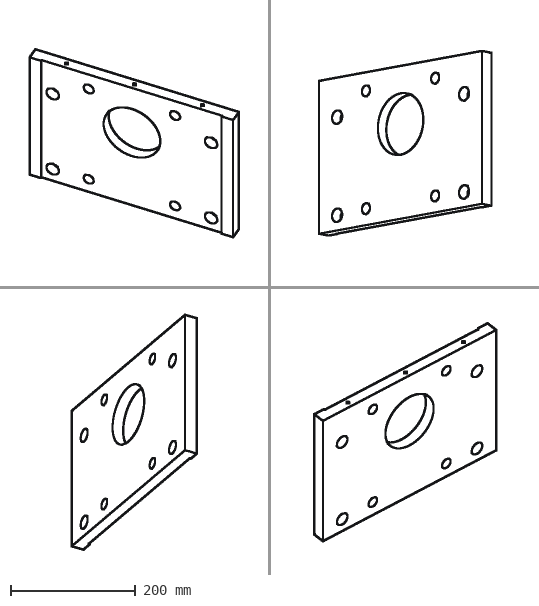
import cadquery as cq
import math

WIDTH = 360.0
THICKNESS = 22.0
HEIGHT = 250.0

STRIP_WIDTH = 20.0
RECESS_DEPTH = 2.0

BORE_DIAMETER = 100.0
BORE_Z = 30.0

OUTER_DIAMETER = 22.0
OUTER_X = 140.0
OUTER_Z = (60.0, -100.0)
INNER_DIAMETER = 17.5
INNER_X = 76.5
INNER_Z = (94.5, -98.0)

EDGE_HOLE_DIAMETER = 5.0
EDGE_HOLE_DEPTH = 15.0
DRILL_POINT_ANGLE = 118
EDGE_HOLE_SPACING = WIDTH / 3
EDGE_HOLE_FROM_BACK = 10.0


def through_holes(diameter, centres):
    """Cylinders along Y, long enough to cross the whole plate."""
    return (
        cq.Workplane("XZ")
        .pushPoints(centres)
        .circle(diameter / 2)
        .extrude(THICKNESS, both=True)
    )


def mirrored_centres(x, heights):
    """Hole centres at +x and -x for every height."""
    return [(side * x, z) for side in (-1, 1) for z in heights]


def front_recess():
    return (
        cq.Workplane("XY")
        .box(WIDTH - 2 * STRIP_WIDTH, RECESS_DEPTH, HEIGHT)
        .translate((0, (RECESS_DEPTH - THICKNESS) / 2, 0))
    )


def edge_holes():
    hole_y = THICKNESS / 2 - EDGE_HOLE_FROM_BACK
    centres = [(i * EDGE_HOLE_SPACING, hole_y) for i in (-1, 0, 1)]
    radius = EDGE_HOLE_DIAMETER / 2
    tip_length = radius / math.tan(math.radians(DRILL_POINT_ANGLE / 2))
    drill = (
        cq.Workplane("XZ")
        .lineTo(radius, 0)
        .lineTo(radius, -EDGE_HOLE_DEPTH)
        .lineTo(0, -EDGE_HOLE_DEPTH - tip_length)
        .close()
        .revolve(360, (0, 0), (0, 1))
    )
    return (
        cq.Workplane("XY", origin=(0, 0, HEIGHT / 2))
        .pushPoints(centres)
        .eachpoint(drill.val(), combine="a")
    )


plate = cq.Workplane("XY").box(WIDTH, THICKNESS, HEIGHT)
result = (
    plate.cut(front_recess())
    .cut(through_holes(BORE_DIAMETER, [(0, BORE_Z)]))
    .cut(through_holes(OUTER_DIAMETER, mirrored_centres(OUTER_X, OUTER_Z)))
    .cut(through_holes(INNER_DIAMETER, mirrored_centres(INNER_X, INNER_Z)))
    .cut(edge_holes())
)